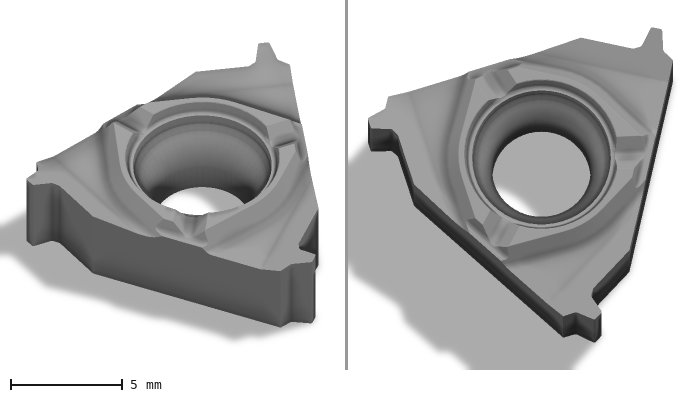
import cadquery as cq
import math

LOBES = 3
LOBE_STEP = 360 / LOBES
SIDE_DISTANCE = 4.77
TOP_Z = 4.2
LAND_Z = 3.38
EXCESS = 9.71

TOOTH_TIP_Y = -6.9
TOOTH_CENTER_X = -3.76
TIP_HALF_WIDTH = 0.25
TOOTH_ROOT_Y = -5.99
ROOT_HALF_WIDTH = 0.5
SHOULDER_Y = -5.81
SHOULDER_OFFSET = 0.83
CORNER_Y = -5.69
TIP_RADIUS = 0.1
ROOT_RADIUS = 0.17

RAKE_START = 4.72
RAKE_ANGLE = 14.7
RAKE_BLEND = 0.36

BOSS_TOP_DISTANCE = 3.72
BOSS_DRAFT = 39.5
BOSS_FOOT_RADIUS = 0.42
FIRST_WALL_ANGLE = -122.0
WALL_ANGLE_STEP = 32.0

BORE_RADIUS = 4.4 / 2
BORE_TOP_Z = 1.36
BOWL_TOP_RADIUS = 2.87
BOWL_TOP_Z = 2.93
SEAT_WALL_RADIUS = 3.05
SEAT_WALL_Z = 3.22
LEDGE_INNER_RADIUS = 3.1
LEDGE_OUTER_RADIUS = 3.3
LEDGE_Z = 3.68
RIM_RADIUS = 3.45
LEDGE_BLEND = 0.17

GROOVE_ANGLE = 195.0
GROOVE_OFFSET = -0.08
GROOVE_HALF_WIDTH = 0.75
GROOVE_FLOOR_HALF_WIDTH = 0.15
GROOVE_WALL_ANGLE = 39.0
GROOVE_BLEND = 0.28
GROOVE_START = 2.77

TOP_EDGE_RADIUS = 0.04

NOTCH_Z = 3.69
NOTCH_FLOOR_WIDTH = 0.32
NOTCH_WALL_ANGLE = 27.0
NOTCH_BLEND = 0.25
NOTCH_CENTER_Y = -0.8
NOTCH_LENGTH = 2.64


def turned(point, angle):
    """Rotate a plan point about the axis."""
    x, y = point
    c = math.cos(math.radians(angle))
    s = math.sin(math.radians(angle))
    return (x * c - y * s, x * s + y * c)


def around_axis(shape):
    """Three copies of a shape, one for each lobe."""
    copies = cq.Workplane("XY")
    for i in range(LOBES):
        copies = copies.add(shape.rotate((0, 0, 0), (0, 0, 1), i * LOBE_STEP))
    return copies.combine()


def corner_arc(before, corner, after, radius):
    """Start, middle and end of the arc that rounds an outline corner."""
    ax, ay = before[0] - corner[0], before[1] - corner[1]
    bx, by = after[0] - corner[0], after[1] - corner[1]
    la, lb = math.hypot(ax, ay), math.hypot(bx, by)
    ax, ay, bx, by = ax / la, ay / la, bx / lb, by / lb
    half = math.acos(ax * bx + ay * by) / 2
    tangent = radius / math.tan(half)
    mx, my = ax + bx, ay + by
    reach = (radius / math.sin(half) - radius) / math.hypot(mx, my)
    start = (corner[0] + ax * tangent, corner[1] + ay * tangent)
    middle = (corner[0] + mx * reach, corner[1] + my * reach)
    end = (corner[0] + bx * tangent, corner[1] + by * tangent)
    return start, middle, end


def rounded_wire(plane, corners):
    """Closed outline from (point, corner radius) pairs; radius 0 stays sharp."""
    wire = None
    for i, (corner, radius) in enumerate(corners):
        if radius:
            before = corners[i - 1][0]
            after = corners[(i + 1) % len(corners)][0]
            start, middle, end = corner_arc(before, corner, after, radius)
        else:
            start = corner
        wire = wire.lineTo(*start) if wire else plane.moveTo(*start)
        if radius:
            wire = wire.threePointArc(middle, end)
    return wire.close()


def insert_prism():
    """Full-height prism of the three-lobed outline."""
    lean = math.radians(LOBE_STEP - 90)
    relief_end_x = (SIDE_DISTANCE + SHOULDER_Y * math.cos(lean)) / math.sin(lean)
    lobe = [
        ((-SIDE_DISTANCE, CORNER_Y), 0),
        ((TOOTH_CENTER_X - ROOT_HALF_WIDTH, TOOTH_ROOT_Y), ROOT_RADIUS),
        ((TOOTH_CENTER_X - TIP_HALF_WIDTH, TOOTH_TIP_Y), TIP_RADIUS),
        ((TOOTH_CENTER_X + TIP_HALF_WIDTH, TOOTH_TIP_Y), TIP_RADIUS),
        ((TOOTH_CENTER_X + ROOT_HALF_WIDTH, TOOTH_ROOT_Y), ROOT_RADIUS),
        ((TOOTH_CENTER_X + SHOULDER_OFFSET, SHOULDER_Y), ROOT_RADIUS),
        ((relief_end_x, SHOULDER_Y), 0),
    ]
    outline = []
    for i in range(LOBES):
        outline += [(turned(point, i * LOBE_STEP), radius) for point, radius in lobe]
    return rounded_wire(cq.Workplane("XY"), outline).extrude(TOP_Z)


def boss():
    """Hexagonal boss with drafted walls; wall pairs joined by conical rounds."""
    height = TOP_Z - LAND_Z
    foot = BOSS_TOP_DISTANCE + height * math.tan(math.radians(BOSS_DRAFT))
    corner_reach = foot / math.cos(math.radians((LOBE_STEP - WALL_ANGLE_STEP) / 2))
    wire = None
    for i in range(LOBES):
        first = FIRST_WALL_ANGLE + i * LOBE_STEP
        second = first + WALL_ANGLE_STEP
        start = turned((foot, 0), first)
        middle = turned((foot, 0), (first + second) / 2)
        end = turned((foot, 0), second)
        corner = turned((corner_reach, 0), (second + first + LOBE_STEP) / 2)
        if wire is None:
            wire = cq.Workplane("XY").workplane(offset=LAND_Z).moveTo(*start)
        else:
            wire = wire.lineTo(*start)
        wire = wire.threePointArc(middle, end).lineTo(*corner)
    return wire.close().extrude(height, taper=BOSS_DRAFT)


def rake_wedges():
    """Wedges whose tops rise outward from the valley along each lobe."""
    run = EXCESS - RAKE_START
    rise = run * math.tan(math.radians(RAKE_ANGLE))
    profile = [
        ((0, 0), 0),
        ((-EXCESS, 0), 0),
        ((-EXCESS, LAND_Z + rise), 0),
        ((-RAKE_START, LAND_Z), RAKE_BLEND),
        ((0, LAND_Z), 0),
    ]
    wedge = rounded_wire(cq.Workplane("YZ"), profile).extrude(EXCESS / 2, both=True)
    return around_axis(wedge)


def screw_seat():
    """Stepped seat: bore, curved bowl, short wall, ledge and flared rim."""
    out = BOWL_TOP_RADIUS - BORE_RADIUS
    up = BOWL_TOP_Z - BORE_TOP_Z
    bowl_radius = (out**2 + up**2) / (2 * out)
    half_sweep = math.asin(up / bowl_radius) / 2
    bowl_middle = (
        BORE_RADIUS + bowl_radius * (1 - math.cos(half_sweep)),
        BORE_TOP_Z + bowl_radius * math.sin(half_sweep),
    )
    rim = (RIM_RADIUS, TOP_Z)
    ledge_outer = (LEDGE_OUTER_RADIUS, LEDGE_Z)
    ledge_inner = (LEDGE_INNER_RADIUS, LEDGE_Z)
    blend_start, blend_middle, blend_end = corner_arc(ledge_inner, ledge_outer, rim, LEDGE_BLEND)
    return (
        cq.Workplane("XZ")
        .lineTo(BORE_RADIUS, 0)
        .lineTo(BORE_RADIUS, BORE_TOP_Z)
        .threePointArc(bowl_middle, (BOWL_TOP_RADIUS, BOWL_TOP_Z))
        .lineTo(SEAT_WALL_RADIUS, SEAT_WALL_Z)
        .lineTo(*ledge_inner)
        .lineTo(*blend_start)
        .threePointArc(blend_middle, blend_end)
        .lineTo(*rim)
        .lineTo(0, TOP_Z)
        .close()
        .revolve(360, (0, 0), (0, 1))
    )


def groove_cutters():
    """V grooves with blended flat bottoms running outward across the boss."""
    depth = (GROOVE_HALF_WIDTH - GROOVE_FLOOR_HALF_WIDTH) * math.tan(math.radians(GROOVE_WALL_ANGLE))
    profile = [
        ((GROOVE_OFFSET - GROOVE_HALF_WIDTH, TOP_Z), 0),
        ((GROOVE_OFFSET - GROOVE_FLOOR_HALF_WIDTH, TOP_Z - depth), GROOVE_BLEND),
        ((GROOVE_OFFSET + GROOVE_FLOOR_HALF_WIDTH, TOP_Z - depth), GROOVE_BLEND),
        ((GROOVE_OFFSET + GROOVE_HALF_WIDTH, TOP_Z), 0),
    ]
    plane = cq.Workplane("YZ").workplane(offset=GROOVE_START)
    groove = rounded_wire(plane, profile).extrude(EXCESS - GROOVE_START)
    return around_axis(groove.rotate((0, 0, 0), (0, 0, 1), GROOVE_ANGLE))


def notch_cutters():
    """Blended ledges cut along the long sides at the boss corners."""
    foot_x = -SIDE_DISTANCE + NOTCH_FLOOR_WIDTH
    lean = (TOP_Z - NOTCH_Z) * math.tan(math.radians(NOTCH_WALL_ANGLE))
    profile = [
        ((-EXCESS, NOTCH_Z), 0),
        ((foot_x, NOTCH_Z), NOTCH_BLEND),
        ((foot_x + lean, TOP_Z), 0),
        ((-EXCESS, TOP_Z), 0),
    ]
    notch = rounded_wire(cq.Workplane("XZ"), profile).extrude(NOTCH_LENGTH / 2, both=True)
    return around_axis(notch.translate((0, NOTCH_CENTER_Y, 0)))


def boss_on_land():
    """Boss standing on a wide plain disc, with a blend all around its foot."""
    disc = cq.Workplane("XY").circle(EXCESS).extrude(LAND_Z)
    reach = EXCESS - 0.14
    foot_zone = cq.selectors.BoxSelector(
        (-reach, -reach, LAND_Z - 0.14), (reach, reach, LAND_Z + 0.14), boundingbox=True
    )
    return disc.union(boss()).edges(foot_zone).fillet(BOSS_FOOT_RADIUS)


result = boss_on_land().union(rake_wedges()).intersect(insert_prism())
result = result.cut(screw_seat()).cut(groove_cutters()).cut(notch_cutters())
result = result.faces(">Z").edges().fillet(TOP_EDGE_RADIUS)